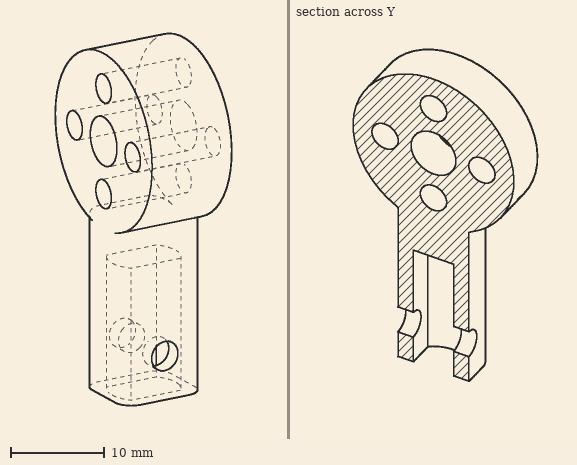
import cadquery as cq

head_diameter = 20.0
thickness = 10.0

stem_width = 8.8
stem_reach = 29.0
stem_edge_radius = 2.0

socket_diameter = 8.0
socket_across_flats = 5.0
socket_depth = 15.0

centre_hole_diameter = 5.5
mount_hole_diameter = 3.2
mount_circle_radius = 6.0
mount_hole_count = 4
cross_hole_diameter = 3.3
cross_hole_height = 5.0


def back_face_plane():
    """XZ sketch plane on the back (+Y) face; extruding from it goes toward -Y."""
    return cq.Workplane("XZ", origin=(0, thickness / 2, 0))


def stem_bottom_plane():
    """XY sketch plane on the stem's bottom face; extruding goes up the stem."""
    return cq.Workplane("XY", origin=(0, 0, -stem_reach))


def make_head():
    return back_face_plane().circle(head_diameter / 2).extrude(thickness)


def make_stem():
    """Bar from the head centre down, with its four vertical edges rounded."""
    return (
        stem_bottom_plane()
        .rect(stem_width, thickness)
        .extrude(stem_reach)
        .edges("|Z")
        .fillet(stem_edge_radius)
    )


def make_socket():
    """Blind round bore along Z with two flats facing +X and -X."""
    bore = stem_bottom_plane().circle(socket_diameter / 2).extrude(socket_depth)
    flats = (
        stem_bottom_plane()
        .rect(socket_across_flats, socket_diameter)
        .extrude(socket_depth)
    )
    return bore.intersect(flats)


def make_head_holes():
    """Centre hole and the ring of mounting holes, all through the head."""
    centre_hole = back_face_plane().circle(centre_hole_diameter / 2).extrude(thickness)
    mount_holes = (
        back_face_plane()
        .polarArray(mount_circle_radius, 0, 360, mount_hole_count)
        .circle(mount_hole_diameter / 2)
        .extrude(thickness)
    )
    return centre_hole.union(mount_holes)


def make_cross_hole():
    """Hole along X through the lower end of the stem."""
    return (
        cq.Workplane("YZ", origin=(0, 0, cross_hole_height - stem_reach))
        .circle(cross_hole_diameter / 2)
        .extrude(stem_width, both=True)
    )


body = make_head().union(make_stem())
result = body.cut(make_socket()).cut(make_head_holes()).cut(make_cross_hole())